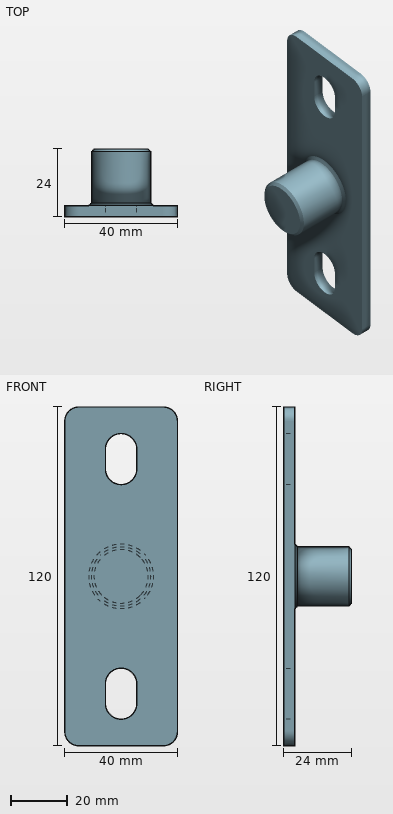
import cadquery as cq

plate_width = 40.0
plate_height = 120.0
plate_thickness = 4.0
corner_radius = 5.0

slot_width = 11.0
slot_length = 18.0
slot_spacing = 83.0

overall_depth = 24.0
boss_diameter = 21.0
boss_tip_chamfer = 1.0
boss_foot_chamfer = 1.0


def make_plate():
    """Rounded plate with its front face on Y = 0 and two slots."""
    plate = (
        cq.Workplane("XZ")
        .rect(plate_width, plate_height)
        .extrude(-plate_thickness)
        .edges("|Y")
        .fillet(corner_radius)
    )
    slots = (
        cq.Workplane("XZ")
        .rarray(1.2, slot_spacing, 1, 2)
        .slot2D(slot_length, slot_width, 90)
        .extrude(-plate_thickness)
    )
    return plate.cut(slots)


def make_boss():
    """Solid boss, turned about Y, with a chamfered tip and a flared foot."""
    radius = boss_diameter / 2
    profile = (
        cq.Workplane("XY")
        .moveTo(0, plate_thickness)
        .lineTo(radius + boss_foot_chamfer, plate_thickness)
        .lineTo(radius, plate_thickness + boss_foot_chamfer)
        .lineTo(radius, overall_depth - boss_tip_chamfer)
        .lineTo(radius - boss_tip_chamfer, overall_depth)
        .lineTo(0, overall_depth)
        .close()
    )
    return profile.revolve(360, (0, 0, 0), (0, 1, 0))


result = make_plate().union(make_boss())